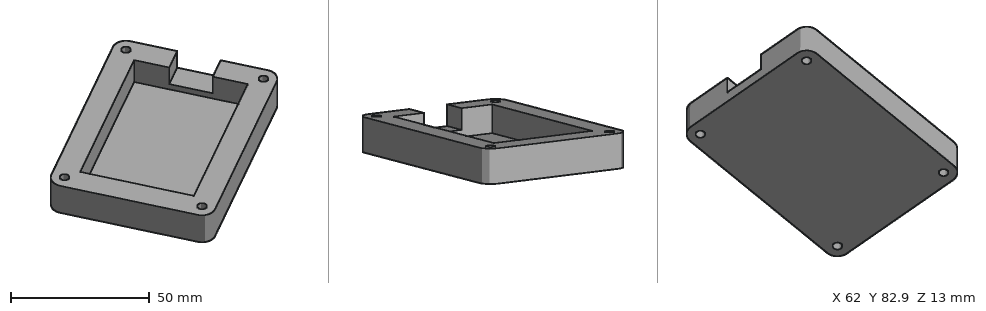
import cadquery as cq

width = 62.0
length = 82.9
height = 13.0
corner_radius = 5.0

pocket_width = 43.0
pocket_length = 64.0
pocket_depth = 10.5

notch_width = 16.4
notch_depth = 8.0

hole_diameter = 3.4
hole_spacing_x = width - 2 * corner_radius
hole_spacing_y = length - 2 * corner_radius


def make_body():
    body = cq.Workplane("XY").box(width, length, height, centered=(True, True, False))
    return body.edges("|Z").fillet(corner_radius)


def make_pocket():
    return (
        cq.Workplane("XY", origin=(0, 0, height - pocket_depth))
        .box(pocket_width, pocket_length, pocket_depth, centered=(True, True, False))
    )


def make_notch():
    return (
        cq.Workplane("XY", origin=(0, 0, height - notch_depth))
        .box(notch_width, length / 2, notch_depth, centered=(True, False, False))
    )


def make_screw_holes():
    return (
        cq.Workplane("XY")
        .rect(hole_spacing_x, hole_spacing_y, forConstruction=True)
        .vertices()
        .circle(hole_diameter / 2)
        .extrude(height)
    )


result = make_body().cut(make_pocket()).cut(make_notch()).cut(make_screw_holes())